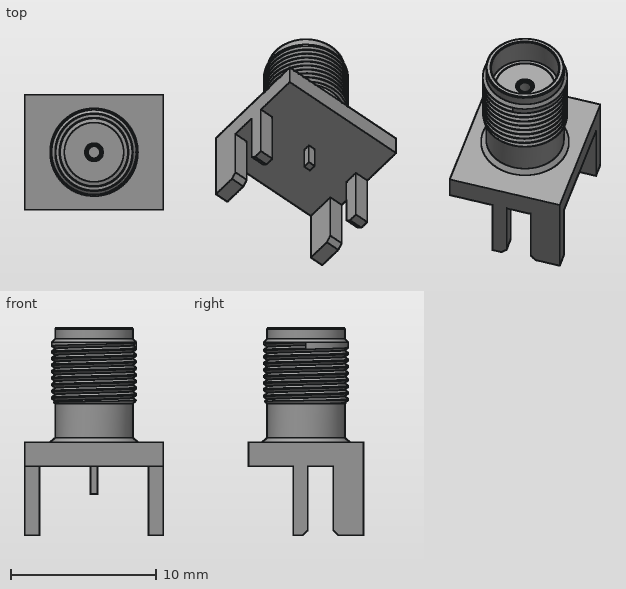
import cadquery as cq

WIDTH = 9.53
DEPTH = 7.92
HEIGHT = 14.27
PLATE_BOTTOM = 4.75
PLATE_TOP = 6.42

LEG_WIDTH = 1.03
WIDE_LEG_DEPTH = 2.1
NARROW_LEG_DEPTH = 1.01
LEG_GAP = 1.73
LEG_CHAMFER = 0.37
PIN_SIZE = 0.51
PIN_BOTTOM = 2.84

BARREL_RADIUS = 2.68
BASE_FLARE_WIDTH = 0.34
BASE_FLARE_HEIGHT = 0.3
RIM_CHAMFER_WIDTH = 0.05
RIM_CHAMFER_HEIGHT = 0.09

THREAD_RADIUS = 2.91
COLLAR_BOTTOM = 9.06
COLLAR_TOP = 13.51
GROOVE_ROOT_RADIUS = BARREL_RADIUS + 0.01
GROOVE_ROOT_WIDTH = 0.03
GROOVE_FLANK_SLOPE = 0.8
GROOVE_END = 13.07
GROOVE_TURNS = 10
GROOVE_LENGTH = 4.51
PITCH = GROOVE_LENGTH / GROOVE_TURNS
CUTTER_OVERSHOOT = 0.01

BORE_RADIUS = 2.33
BORE_FLOOR = 12.3
MOUTH_CHAMFER = 0.05
INSULATOR_RADIUS = 2.04
MARGIN_TOP = 12.37
INSULATOR_TOP = 12.32
CONTACT_RADIUS = 0.63
CONTACT_CHAMFER = 0.05
CONTACT_HOLE_RADIUS = 0.41
CONTACT_LEAD_IN = 0.05
CONTACT_HOLE_DEPTH = 1.43


def revolve(points):
    """Revolve (radius, z) points about the Z axis."""
    return cq.Workplane("XZ").polyline(points).close().revolve(360, (0, 0, 0), (0, 1, 0))


def make_plate():
    thickness = PLATE_TOP - PLATE_BOTTOM
    return cq.Workplane("XY", (0, 0, PLATE_BOTTOM)).box(WIDTH, DEPTH, thickness, (True, True, False))


def make_leg(side, y_back, depth, chamfered_edge):
    """A leg reaching down from the plate, with one bottom edge chamfered."""
    leg = (
        cq.Workplane("XY")
        .box(LEG_WIDTH, depth, PLATE_TOP, (True, True, False))
        .faces("<Z").edges(chamfered_edge).chamfer(LEG_CHAMFER)
    )
    return leg.translate((side * (WIDTH - LEG_WIDTH) / 2, y_back - depth / 2, 0))


def make_barrel():
    rim_radius = BARREL_RADIUS - RIM_CHAMFER_WIDTH
    thread_height = THREAD_RADIUS - BARREL_RADIUS
    return revolve([
        (0, PLATE_BOTTOM),
        (BARREL_RADIUS + BASE_FLARE_WIDTH, PLATE_BOTTOM),
        (BARREL_RADIUS + BASE_FLARE_WIDTH, PLATE_TOP),
        (BARREL_RADIUS, PLATE_TOP + BASE_FLARE_HEIGHT),
        (BARREL_RADIUS, COLLAR_BOTTOM),
        (THREAD_RADIUS, COLLAR_BOTTOM + thread_height),
        (THREAD_RADIUS, COLLAR_TOP - thread_height),
        (BARREL_RADIUS, COLLAR_TOP),
        (BARREL_RADIUS, HEIGHT - RIM_CHAMFER_HEIGHT),
        (rim_radius, HEIGHT),
        (0, HEIGHT),
    ])


def make_thread_groove():
    """Right-handed helical cutter that ends on the +X side."""
    start = GROOVE_END - GROOVE_LENGTH
    root_half = GROOVE_ROOT_WIDTH / 2
    outer_radius = THREAD_RADIUS + CUTTER_OVERSHOOT
    outer_half = root_half + (outer_radius - GROOVE_ROOT_RADIUS) * GROOVE_FLANK_SLOPE
    path = cq.Wire.makeHelix(PITCH, GROOVE_LENGTH, BARREL_RADIUS, cq.Vector(0, 0, start))
    return (
        cq.Workplane("XZ")
        .polyline([
            (GROOVE_ROOT_RADIUS, start - root_half),
            (outer_radius, start - outer_half),
            (outer_radius, start + outer_half),
            (GROOVE_ROOT_RADIUS, start + root_half),
        ])
        .close()
        .sweep(cq.Workplane(path), isFrenet=True)
    )


def make_socket():
    """Bore with a flared mouth, down to a recessed insulator inside a sloping margin."""
    return revolve([
        (0, INSULATOR_TOP),
        (INSULATOR_RADIUS, INSULATOR_TOP),
        (INSULATOR_RADIUS, MARGIN_TOP),
        (BORE_RADIUS, BORE_FLOOR),
        (BORE_RADIUS, HEIGHT - MOUTH_CHAMFER),
        (BORE_RADIUS + MOUTH_CHAMFER, HEIGHT),
        (0, HEIGHT),
    ])


def make_contact_recess():
    """Tapered socket of the centre contact, continuing as a blind hole."""
    lead_in_radius = CONTACT_HOLE_RADIUS + CONTACT_LEAD_IN
    return revolve([
        (0, INSULATOR_TOP),
        (CONTACT_RADIUS, INSULATOR_TOP),
        (CONTACT_RADIUS - CONTACT_CHAMFER, INSULATOR_TOP - CONTACT_CHAMFER),
        (lead_in_radius, INSULATOR_TOP - CONTACT_CHAMFER),
        (CONTACT_HOLE_RADIUS, INSULATOR_TOP - CONTACT_CHAMFER - CONTACT_LEAD_IN),
        (CONTACT_HOLE_RADIUS, INSULATOR_TOP - CONTACT_HOLE_DEPTH),
        (0, INSULATOR_TOP - CONTACT_HOLE_DEPTH),
    ])


wide_leg_back = DEPTH / 2
narrow_leg_back = wide_leg_back - WIDE_LEG_DEPTH - LEG_GAP
pin_y = narrow_leg_back - NARROW_LEG_DEPTH / 2

result = make_barrel().cut(make_thread_groove()).cut(make_socket()).cut(make_contact_recess())
result = result.union(make_plate())
for side in (-1, 1):
    result = result.union(make_leg(side, wide_leg_back, WIDE_LEG_DEPTH, "<Y"))
    result = result.union(make_leg(side, narrow_leg_back, NARROW_LEG_DEPTH, ">Y"))

pin = cq.Workplane("XY", (0, pin_y, PIN_BOTTOM)).box(
    PIN_SIZE, PIN_SIZE, PLATE_TOP - PIN_BOTTOM, (True, True, False)
)
result = result.union(pin)